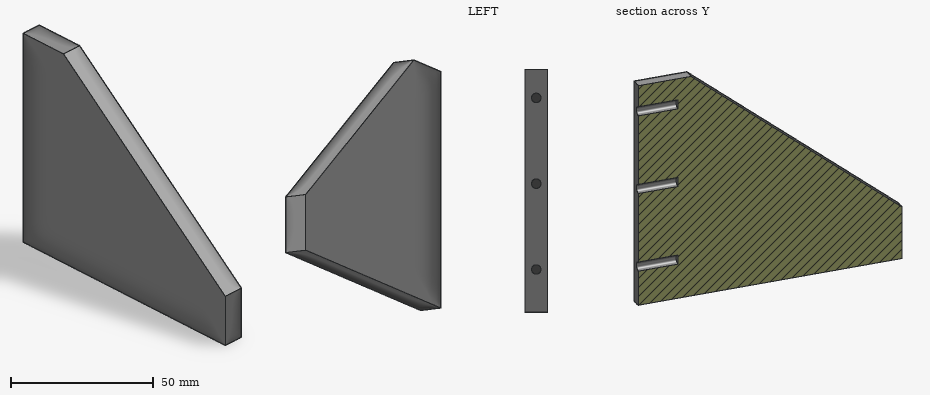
import cadquery as cq

length = 100.0
thickness = 8.0
height = 85.0
top_land = 20.0
end_land = 20.0

hole_diameter = 3.3
hole_depth = 15.0
hole_count = 3
hole_pitch = 30.0
lowest_hole_height = 15.0


def make_plate():
    """Rectangle with its upper +X corner cut off by a slope."""
    outline = [
        (0, 0),
        (length, 0),
        (length, end_land),
        (top_land, height),
        (0, height),
    ]
    return cq.Workplane("XZ").polyline(outline).close().extrude(-thickness)


def make_screw_holes():
    """Row of cylinders entering the upright edge along +X."""
    centers = [
        (thickness / 2, lowest_hole_height + index * hole_pitch)
        for index in range(hole_count)
    ]
    return cq.Workplane("YZ").pushPoints(centers).circle(hole_diameter / 2).extrude(hole_depth)


result = make_plate().cut(make_screw_holes())